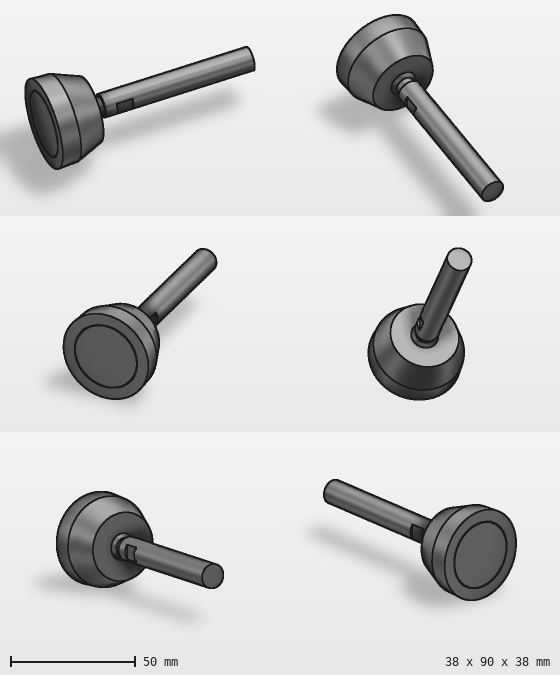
import cadquery as cq
import math


foot_height = 20.0
foot_bottom_diameter = 38.0
foot_shoulder_diameter = 37.2
foot_top_diameter = 28.0
foot_shoulder_height = 8.2

groove_outer_diameter = 28.0
groove_inner_diameter = 27.5
groove_depth = 2.0

overall_length = 90.0
stem_diameter = 10.0
neck_diameter = 7.8
neck_end = 25.0

ball_diameter = 14.0
neck_start = 21.5
neck_radius = neck_diameter / 2
ball_radius = ball_diameter / 2
ball_center = neck_start - math.sqrt(ball_radius**2 - neck_radius**2)
ball_bottom = ball_center - ball_radius

across_flats = 8.0
flats_start = 30.0
flats_length = 7.0


def revolve_about_y(outline):
    """Turn a closed outline, drawn as (radius, Y) in the ZY plane, about the Y axis."""
    return outline.revolve(360, (0, 0, 0), (0, 1, 0))


def make_groove():
    outline = cq.Workplane("ZY").polyline([
        (groove_inner_diameter / 2, 0),
        (groove_outer_diameter / 2, 0),
        (groove_outer_diameter / 2, groove_depth),
        (groove_inner_diameter / 2, groove_depth),
    ])
    return revolve_about_y(outline.close())


def make_socket():
    return cq.Workplane("XY").sphere(ball_radius).translate((0, ball_center, 0))


def make_foot():
    outline = cq.Workplane("ZY").polyline([
        (0, 0),
        (foot_bottom_diameter / 2, 0),
        (foot_shoulder_diameter / 2, foot_shoulder_height),
        (foot_top_diameter / 2, foot_height),
        (0, foot_height),
    ])
    return revolve_about_y(outline.close()).cut(make_groove()).cut(make_socket())


def make_stem():
    outline = (
        cq.Workplane("ZY")
        .moveTo(0, ball_bottom)
        .threePointArc((ball_radius, ball_center), (neck_radius, neck_start))
        .lineTo(neck_radius, neck_end)
        .lineTo(stem_diameter / 2, neck_end)
        .lineTo(stem_diameter / 2, overall_length)
        .lineTo(0, overall_length)
    )
    stem = revolve_about_y(outline.close())
    for side in (-1, 1):
        stem = stem.cut(make_flat_cutter(side))
    return stem


def make_flat_cutter(side):
    """Block outside one wrench flat; side is -1 or 1 along X."""
    block = cq.Workplane("XY").box(stem_diameter, flats_length, stem_diameter)
    center_x = side * (across_flats + stem_diameter) / 2
    center_y = flats_start + flats_length / 2
    return block.translate((center_x, center_y, 0))


foot = make_foot()
stem = make_stem()

result = cq.Compound.makeCompound([foot.val(), stem.val()])